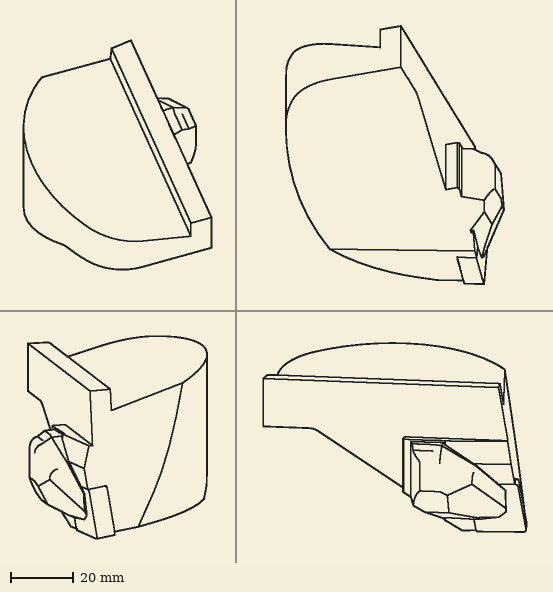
import cadquery as cq
import math


INSERT_THICKNESS = 6.35
INSERT_CIRCLE = 15.875
INSERT_ANGLE = 80.0
INSERT_NOSE_RADIUS = 0.8
INSERT_SIDE = INSERT_CIRCLE / math.sin(math.radians(INSERT_ANGLE))
NOSE_X = -49.7
RAKE_PER_X = math.tan(math.radians(9.5))
RAKE_PER_Z = math.tan(math.radians(6.3))
INSERT_OVERHANG_LEFT = 0.85

RIGHT_X = 36.5
LEFT_ARC_RADIUS = 48.0
RIGHT_ARC_RADIUS = 50.0
CORNER_RADIUS = 19.0
TANGENT_START_Y = -20.3
WALL_TOP_Z = 46.7
WALL_THICKNESS = 7.0
STEP_Z = 40.0
TOP_TILT = 15.0
FOOT_Z = 31.1
RELIEF_ANGLE = 32.0
RELIEF_START_X = -28.9
RELIEF_START_Z = 0.65
BOTTOM_PER_X = -0.022
RELIEF_BLEND_RADIUS = 6.0

SHELF_Z = 29.5
RAKE_TOP_Z = 22.5
BEVEL_PER_Z = 0.32
SEAT_DEPTH = 5.2
SEAT_RIGHT_X = -24.0
NOTCH_DEPTH = 4.0
NOTCH_RIGHT_X = -20.1
HEEL_DEPTH = 4.4
HEEL_LEFT_X = -16.6
HEEL_RIGHT_X = -9.95
HEEL_EDGE_CHAMFER = 0.5

CLAMP_BACK_Y = 14.02
CLAMP_RIGHT_X = -11.5
CLAMP_LEAN = 0.1
CLAMP_BACK_DEPTH = CLAMP_BACK_Y * math.hypot(1, CLAMP_LEAN)
CLAMP_END_ARC = [(-17.8, CLAMP_BACK_Y), (-16.2, 13.1), (-14.9, 10.9)]
CLAMP_HEEL_X = -12.8
CLAMP_STRAIGHT_X = -21.6
CLAMP_BEND_X = -24.3
CLAMP_ELBOW_X = -34.3
CLAMP_TIP_X = -43.4
ARM_LEAN_PER_DROP = 1.1

BIG = 200.0


def unit(vector):
    return cq.Vector(*vector).normalized()


INTO_SEAT = unit((RAKE_PER_X, -1.0, RAKE_PER_Z))
LOWER_EDGE = unit((1.0, RAKE_PER_X, 0.0))
UP_RAKE = INTO_SEAT.cross(LOWER_EDGE)
LEFT_EDGE = (
    LOWER_EDGE * math.cos(math.radians(INSERT_ANGLE))
    + UP_RAKE * math.sin(math.radians(INSERT_ANGLE))
)
LEFT_OUTWARD = INTO_SEAT.cross(LEFT_EDGE)
NOSE = cq.Vector(NOSE_X, 0.0, 0.0)


def space_beyond(point, outward):
    """A large block filling the space on the outward side of a plane."""
    return cq.Workplane(cq.Plane(point, normal=outward)).rect(2 * BIG, 2 * BIG).extrude(BIG)


def make_insert():
    corner_x = INSERT_SIDE * math.cos(math.radians(INSERT_ANGLE))
    return (
        cq.Workplane(cq.Plane(NOSE, xDir=LOWER_EDGE, normal=INTO_SEAT))
        .polyline(
            [
                (0, 0),
                (INSERT_SIDE, 0),
                (INSERT_SIDE + corner_x, INSERT_CIRCLE),
                (corner_x, INSERT_CIRCLE),
            ]
        )
        .close()
        .extrude(INSERT_THICKNESS)
        .edges(cq.selectors.ParallelDirSelector(INTO_SEAT))
        .fillet(INSERT_NOSE_RADIUS)
    )


def make_head():
    right_centre_y = RIGHT_ARC_RADIUS - LEFT_ARC_RADIUS
    corner_x = RIGHT_X - CORNER_RADIUS
    centre_gap = RIGHT_ARC_RADIUS - CORNER_RADIUS
    corner_y = right_centre_y - math.sqrt(centre_gap**2 - corner_x**2)
    join_angle = math.atan2(corner_y - right_centre_y, corner_x)
    middle_angle = join_angle / 2

    def on_right_arc(angle):
        return (
            RIGHT_ARC_RADIUS * math.cos(angle),
            right_centre_y + RIGHT_ARC_RADIUS * math.sin(angle),
        )

    def on_left_arc(angle):
        return (LEFT_ARC_RADIUS * math.cos(angle), LEFT_ARC_RADIUS * math.sin(angle))

    bottom_angle = -math.pi / 2
    tangent_angle = -math.pi - math.asin(TANGENT_START_Y / LEFT_ARC_RADIUS)
    tangent_end = -LEFT_ARC_RADIUS / math.cos(math.pi + tangent_angle)
    outline = (
        cq.Workplane("XY")
        .moveTo(tangent_end, 0)
        .lineTo(RIGHT_X, 0)
        .lineTo(RIGHT_X, corner_y)
        .threePointArc(
            (
                corner_x + CORNER_RADIUS * math.cos(middle_angle),
                corner_y + CORNER_RADIUS * math.sin(middle_angle),
            ),
            on_right_arc(join_angle),
        )
        .threePointArc(on_right_arc((join_angle + bottom_angle) / 2), on_right_arc(bottom_angle))
        .threePointArc(on_left_arc((bottom_angle + tangent_angle) / 2), on_left_arc(tangent_angle))
        .close()
    )
    blank = outline.extrude(2 * WALL_TOP_Z, both=True)
    rise = (BIG - WALL_THICKNESS) * math.tan(math.radians(TOP_TILT))
    above = (
        cq.Workplane("YZ")
        .polyline(
            [
                (BIG, WALL_TOP_Z),
                (-WALL_THICKNESS, WALL_TOP_Z),
                (-WALL_THICKNESS, STEP_Z),
                (-BIG, STEP_Z + rise),
                (-BIG, BIG),
                (BIG, BIG),
            ]
        )
        .close()
        .extrude(BIG, both=True)
    )
    return blank.cut(above)


def make_seat():
    block = (
        cq.Workplane("XY")
        .polyline(
            [
                (NOSE_X, -WALL_THICKNESS),
                (NOSE_X, SEAT_DEPTH),
                (SEAT_RIGHT_X, SEAT_DEPTH),
                (SEAT_RIGHT_X, NOTCH_DEPTH),
                (NOTCH_RIGHT_X, NOTCH_DEPTH),
                (HEEL_LEFT_X, HEEL_DEPTH),
                (HEEL_RIGHT_X - HEEL_EDGE_CHAMFER, HEEL_DEPTH),
                (HEEL_RIGHT_X, HEEL_DEPTH - HEEL_EDGE_CHAMFER),
                (HEEL_RIGHT_X, -WALL_THICKNESS),
            ]
        )
        .close()
        .extrude(SHELF_Z)
    )
    rake_top = NOSE + cq.Vector(0, RAKE_PER_Z * RAKE_TOP_Z, RAKE_TOP_Z)
    bevel_outward = unit((-RAKE_PER_X, 1.0, BEVEL_PER_Z))
    return block.cut(space_beyond(NOSE, INTO_SEAT * -1)).cut(space_beyond(rake_top, bevel_outward))


def clamp_section(x, root, ridge, shoulder, bulge, back_top, back_low, heel, toe, lean=0.0):
    """A closed (Y, Z) section of the clamp; its back upper corner is an arc through bulge.

    The section meets the back of the clamp near x and leans toward +X by lean per millimetre of depth.
    """
    foot = (x + lean * CLAMP_BACK_Y, 0, 0)
    return (
        cq.Workplane(cq.Plane(foot, xDir=(-lean, 1, 0), normal=(1, lean, 0)))
        .moveTo(*root)
        .lineTo(*ridge)
        .lineTo(*shoulder)
        .threePointArc(bulge, back_top)
        .lineTo(*back_low)
        .lineTo(*heel)
        .lineTo(*toe)
        .close()
        .val()
    )


def make_clamp():
    root = (2.5, 28.9)
    back_low = (CLAMP_BACK_DEPTH, 14.7)
    heel = (10.3, 7.2)
    toe = (4.0, 4.2)
    straight = dict(
        root=root,
        ridge=(7.95, 28.8),
        shoulder=(10.6, 27.2),
        bulge=(13.2, 25.8),
        back_top=(CLAMP_BACK_DEPTH, 23.8),
        back_low=back_low,
        heel=heel,
        toe=toe,
        lean=CLAMP_LEAN,
    )
    bend = dict(
        root=root,
        ridge=(8.3, 28.6),
        shoulder=(11.8, 26.6),
        bulge=(13.4, 25.6),
        back_top=(CLAMP_BACK_DEPTH, 23.6),
        back_low=back_low,
        heel=heel,
        toe=toe,
        lean=CLAMP_LEAN,
    )
    elbow_back_top = (11.7, 17.1)
    elbow = dict(
        root=(2.0, 22.0),
        ridge=(5.7, 22.0),
        shoulder=(9.2, 20.4),
        bulge=(11.0, 19.3),
        back_top=elbow_back_top,
        back_low=(11.7, 9.5),
        heel=(10.2, 7.3),
        toe=(2.0, 3.6),
    )
    tip_back_top = (2.5, 8.0)
    tip = dict(
        root=(1.0, 13.8),
        ridge=(2.85, 13.8),
        shoulder=(2.85, 13.0),
        bulge=(2.76, 10.5),
        back_top=tip_back_top,
        back_low=(2.5, 6.0),
        heel=(2.0, 5.0),
        toe=(1.0, 5.0),
    )
    sections = [
        clamp_section(CLAMP_RIGHT_X, **straight),
        clamp_section(CLAMP_STRAIGHT_X, **straight),
        clamp_section(CLAMP_BEND_X, **bend),
        clamp_section(CLAMP_ELBOW_X, **elbow),
        clamp_section(CLAMP_TIP_X, **tip),
    ]
    blank = cq.Workplane(cq.Solid.makeLoft(sections, True))

    arc_start, arc_middle, arc_end = CLAMP_END_ARC
    end = (
        cq.Workplane("XY")
        .moveTo(*arc_start)
        .threePointArc(arc_middle, arc_end)
        .lineTo(CLAMP_HEEL_X, HEEL_DEPTH)
        .lineTo(CLAMP_HEEL_X, 0)
        .lineTo(0, 0)
        .lineTo(0, 2 * CLAMP_BACK_Y)
        .lineTo(arc_start[0], 2 * CLAMP_BACK_Y)
        .close()
        .extrude(BIG)
    )

    elbow_point = cq.Vector(CLAMP_ELBOW_X, *elbow_back_top)
    tip_point = cq.Vector(CLAMP_TIP_X, *tip_back_top)
    under_outward = cq.Vector(ARM_LEAN_PER_DROP, 0, -1).cross(tip_point - elbow_point)
    return blank.cut(end).cut(space_beyond(elbow_point, under_outward))


def relief_below():
    """Space under the head: the sloped relief, blended into the flat foot."""
    foot_x = RELIEF_START_X + (FOOT_Z - RELIEF_START_Z) / math.tan(math.radians(RELIEF_ANGLE))
    start_x = RELIEF_START_X - BIG * math.cos(math.radians(RELIEF_ANGLE))
    start_z = RELIEF_START_Z - BIG * math.sin(math.radians(RELIEF_ANGLE))
    tangent = RELIEF_BLEND_RADIUS * math.tan(math.radians(RELIEF_ANGLE / 2))
    return (
        cq.Workplane("XZ")
        .moveTo(start_x, start_z)
        .lineTo(
            foot_x - tangent * math.cos(math.radians(RELIEF_ANGLE)),
            FOOT_Z - tangent * math.sin(math.radians(RELIEF_ANGLE)),
        )
        .tangentArcPoint((foot_x + tangent, FOOT_Z), relative=False)
        .lineTo(BIG, FOOT_Z)
        .lineTo(BIG, start_z)
        .close()
        .extrude(BIG, both=True)
    )


insert = make_insert()
left_face_point = NOSE - LEFT_OUTWARD * INSERT_OVERHANG_LEFT
bottom_face_point = cq.Vector(RELIEF_START_X, 0, RELIEF_START_Z)
housing = make_head().union(make_seat())
housing = housing.cut(space_beyond(left_face_point, LEFT_OUTWARD))
housing = housing.cut(space_beyond(bottom_face_point, unit((BOTTOM_PER_X, -RAKE_PER_Z, -1))))
housing = housing.union(make_clamp()).cut(relief_below()).cut(insert)

result = cq.Compound.makeCompound([housing.val(), insert.val()])